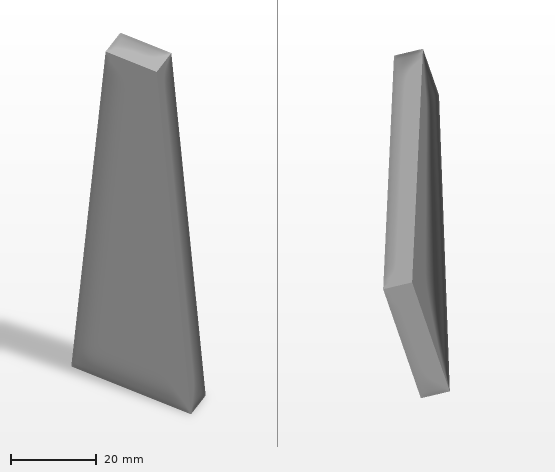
import cadquery as cq

height = 110.1
base_width = 32.0
tip_width = 13.7
thickness = 7.0

outline = [
    (-base_width / 2, -height / 2),
    (base_width / 2, -height / 2),
    (tip_width / 2, height / 2),
    (-tip_width / 2, height / 2),
]

result = cq.Workplane("XZ").polyline(outline).close().extrude(thickness / 2, both=True)